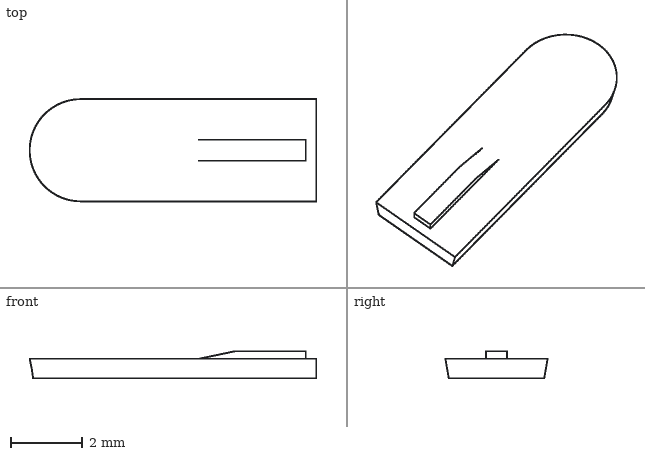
import math

import cadquery as cq

plate_thickness = 0.55
nose_radius = 1.44
side_draft_angle = 10.0
bottom_end_x = 6.62
end_lean = 0.005

side_inset = plate_thickness * math.tan(math.radians(side_draft_angle))
top_end_x = bottom_end_x - end_lean

rib_height = 0.21
rib_width = 0.60
rib_flat_length = 2.00
rib_ramp_length = 1.00
rib_end_gap = 0.295


def add_plate_outline(plane, radius, end_x):
    """Closed D-shaped outline: two long sides, a square end and a half-round nose."""
    return (
        plane.moveTo(0, -radius)
        .lineTo(end_x, -radius)
        .lineTo(end_x, radius)
        .lineTo(0, radius)
        .threePointArc((-radius, 0), (0, -radius))
        .close()
    )


def make_plate():
    """Plate with tapered walls, ruled between its bottom and top outlines."""
    bottom = add_plate_outline(cq.Workplane("XY"), nose_radius - side_inset, bottom_end_x)
    top_plane = bottom.workplane(offset=plate_thickness)
    return add_plate_outline(top_plane, nose_radius, top_end_x).loft(ruled=True)


def make_rib():
    """Rib along X whose front ramps up from the plate's top face."""
    rear_x = top_end_x - rib_end_gap
    ramp_top_x = rear_x - rib_flat_length
    ramp_foot_x = ramp_top_x - rib_ramp_length
    rib_top_z = plate_thickness + rib_height
    return (
        cq.Workplane("XZ")
        .moveTo(ramp_foot_x, plate_thickness)
        .lineTo(rear_x, plate_thickness)
        .lineTo(rear_x, rib_top_z)
        .lineTo(ramp_top_x, rib_top_z)
        .close()
        .extrude(rib_width / 2, both=True)
    )


result = make_plate().union(make_rib())